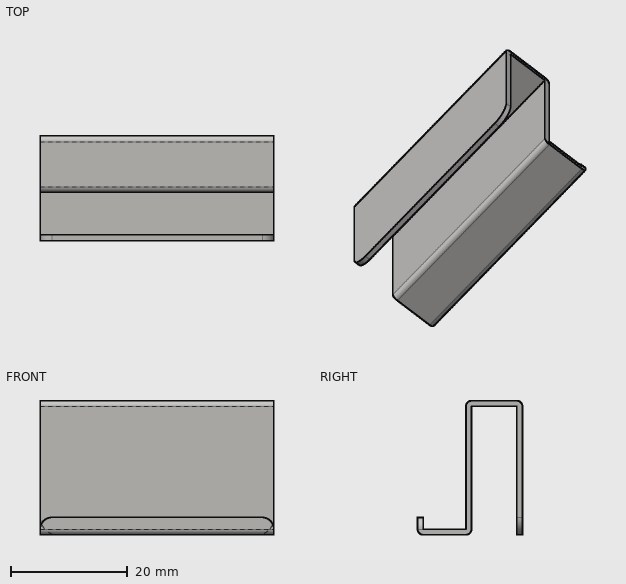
import cadquery as cq

length = 40.0
depth = 18.0
height = 23.0
thickness = 1.0
hook_depth = 9.7
lip_height = 3.0
bend_radius = thickness
leg_corner_radius = 3.0
lip_corner_radius = lip_height - thickness

back_face = depth
back_inner = back_face - thickness
wall_front = back_face - hook_depth
wall_back = wall_front + thickness


def bent_strip():
    """Back leg, top, front wall, shelf and lip as one constant section."""
    section = [
        (back_face, 0),
        (back_face, height),
        (wall_front, height),
        (wall_front, thickness),
        (thickness, thickness),
        (thickness, lip_height),
        (0, lip_height),
        (0, 0),
        (wall_back, 0),
        (wall_back, height - thickness),
        (back_inner, height - thickness),
        (back_inner, 0),
    ]
    return cq.Workplane("YZ").polyline(section).close().extrude(length)


def round_outer_bends(strip):
    """Round the outside of the four bends along the full length."""
    bends = [
        (back_face, height),
        (wall_front, height),
        (wall_back, 0),
        (0, 0),
    ]
    for y, z in bends:
        bend_edge = cq.selectors.NearestToPointSelector((length / 2, y, z))
        strip = strip.edges("|X").edges(bend_edge).fillet(bend_radius)
    return strip


def round_end_corners(strip, y, z, radius):
    """Round both end corners of a free edge whose mid-thickness is at y, z."""
    for x in (0, length):
        corner = cq.selectors.NearestToPointSelector((x, y, z))
        strip = strip.edges("|Y").edges(corner).fillet(radius)
    return strip


result = round_outer_bends(bent_strip())
result = round_end_corners(result, back_face - thickness / 2, 0, leg_corner_radius)
result = round_end_corners(result, thickness / 2, lip_height, lip_corner_radius)